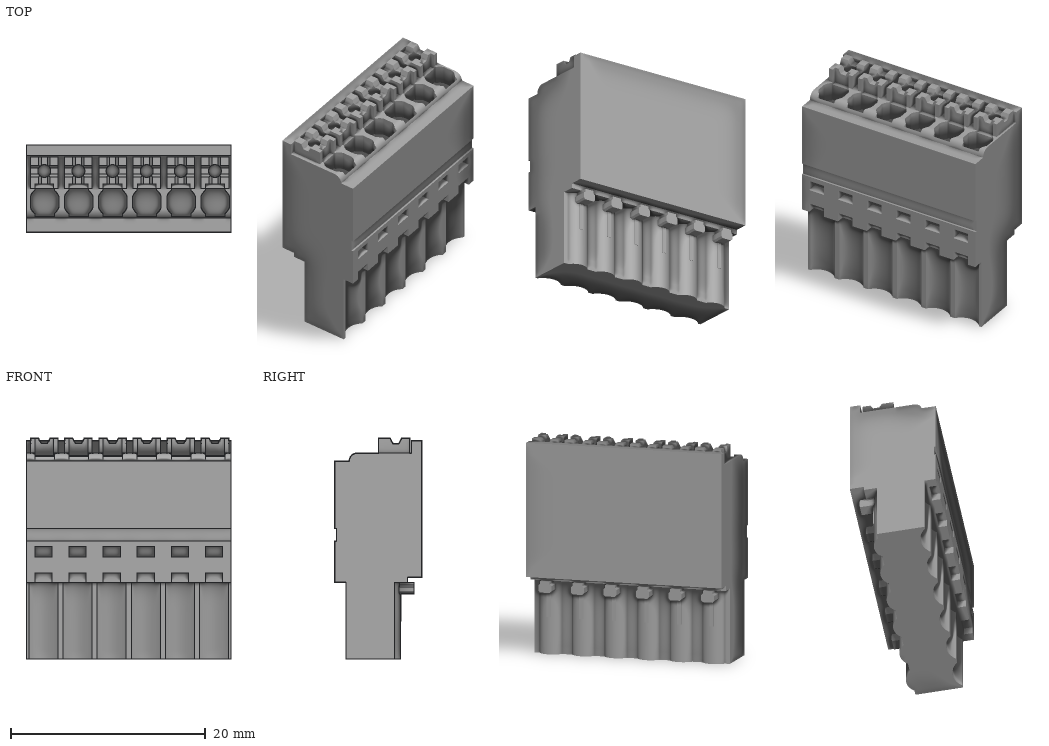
import cadquery as cq
import math

WIDTH = 21.05
DEPTH = 9.0
HEIGHT = 22.7
CELLS = 6
PITCH = WIDTH / CELLS

DECK_Z = 21.18
REAR_WALL_TOP = 22.45
REAR_WALL_Y = 7.9
LEDGE_Z = 20.35
LEDGE_DEPTH = 1.5
DECK_ROUND = DECK_Z - LEDGE_Z
GROOVE_TOP = 13.42
GROOVE_BOTTOM = 12.12
GROOVE_DEPTH = 0.2
SHOULDER_Z = 7.88
REAR_STEP_Z = 8.4
REAR_STEP_Y = 7.51
PLUG_FRONT = 1.18
PLUG_BACK = 6.15

SCALLOP_WIDTH = 2.97
SCALLOP_SAG = 0.73
BULGE_WIDTH = 2.4
BULGE_SAG = 0.64

NUB_BACK = 8.17
NUB_WIDTH = 1.4
NUB_NECK_WIDTH = 1.05
NUB_NECK_HEIGHT = 0.27
NUB_HEIGHT = 1.18
NUB_CHAMFER = (NUB_WIDTH - NUB_NECK_WIDTH) / 2
RIB_WIDTH = 0.45
RIB_BACK = 6.83
RIB_BOTTOM = 3.93

WINDOW_WIDTH = 1.77
WINDOW_TOP = 11.6
WINDOW_BOTTOM = 10.5
WINDOW_DEPTH = 1.1
SLOT_TOP = 8.88
SLOT_DEPTH = 0.89

ENTRY_OFFSET = 0.11
ENTRY_BOTTOM = 19.07
ENTRY_Y = 3.13
ENTRY_RADIUS = 1.57
ENTRY_FRONT = 1.63
ENTRY_WIDTH = 2.93
ENTRY_MOUTH = 2.0
BUTTON_OFFSET = 0.1
BUTTON_WIDTH = 2.84
BUTTON_FRONT = 4.52
BUTTON_BACK = 7.75
RELIEF_WIDTH = 1.93
RELIEF_DEPTH = 0.48
RELIEF_BOTTOM = 20.9
CROSS_Y = 6.3
CROSS_TOP_WIDTH = 1.18
CROSS_FLOOR_WIDTH = 0.61
CROSS_DEPTH = 0.55
BORE_DIAMETER = 1.32
BORE_DEPTH = 1.36

CELL_CENTRES = [(i - (CELLS - 1) / 2) * PITCH for i in range(CELLS)]


def box(x_mid, width, y0, y1, z0, z1):
    """Box centred on x_mid that spans the given Y and Z limits."""
    return cq.Workplane("XY").box(width, y1 - y0, z1 - z0, centered=(True, False, False)).translate(
        (x_mid, y0, z0)
    )


def arc_segment(x_mid, y_chord, width, sag, z1):
    """Upright prism between a chord at y_chord and an arc bulging toward +Y."""
    half = width / 2
    return (
        cq.Workplane("XY")
        .moveTo(x_mid - half, y_chord)
        .threePointArc((x_mid, y_chord + sag), (x_mid + half, y_chord))
        .close()
        .extrude(z1)
    )


def housing_block():
    """Side profile with the rounded deck edge, extruded over the full width."""
    diagonal = math.sqrt(0.5)
    round_mid = (
        LEDGE_DEPTH + DECK_ROUND * (1 - diagonal),
        LEDGE_Z + DECK_ROUND * diagonal,
    )
    return (
        cq.Workplane("YZ")
        .moveTo(PLUG_FRONT, 0)
        .lineTo(PLUG_FRONT, SHOULDER_Z)
        .lineTo(0, SHOULDER_Z)
        .lineTo(0, GROOVE_BOTTOM)
        .lineTo(GROOVE_DEPTH, GROOVE_BOTTOM)
        .lineTo(GROOVE_DEPTH, GROOVE_TOP)
        .lineTo(0, GROOVE_TOP)
        .lineTo(0, LEDGE_Z)
        .lineTo(LEDGE_DEPTH, LEDGE_Z)
        .threePointArc(round_mid, (LEDGE_DEPTH + DECK_ROUND, DECK_Z))
        .lineTo(REAR_WALL_Y, DECK_Z)
        .lineTo(REAR_WALL_Y, REAR_WALL_TOP)
        .lineTo(DEPTH, REAR_WALL_TOP)
        .lineTo(DEPTH, REAR_STEP_Z)
        .lineTo(REAR_STEP_Y, REAR_STEP_Z)
        .lineTo(REAR_STEP_Y, SHOULDER_Z)
        .lineTo(PLUG_BACK, SHOULDER_Z)
        .lineTo(PLUG_BACK, 0)
        .close()
        .extrude(WIDTH / 2, both=True)
    )


def coding_nub(x_mid):
    """Necked nub with chamfered corners on the rear bulge, just under the shoulder."""
    half = NUB_WIDTH / 2
    half_neck = NUB_NECK_WIDTH / 2
    bottom = SHOULDER_Z - NUB_HEIGHT
    neck_bottom = SHOULDER_Z - NUB_NECK_HEIGHT
    outline = [
        (x_mid - half_neck, SHOULDER_Z),
        (x_mid + half_neck, SHOULDER_Z),
        (x_mid + half_neck, neck_bottom),
        (x_mid + half, neck_bottom - NUB_CHAMFER),
        (x_mid + half, bottom + NUB_CHAMFER),
        (x_mid + half_neck, bottom),
        (x_mid - half_neck, bottom),
        (x_mid - half, bottom + NUB_CHAMFER),
        (x_mid - half, neck_bottom - NUB_CHAMFER),
        (x_mid - half_neck, neck_bottom),
    ]
    return (
        cq.Workplane("XZ", origin=(0, PLUG_BACK, 0))
        .polyline(outline)
        .close()
        .extrude(PLUG_BACK - NUB_BACK)
    )


def wire_entry(x_mid):
    """Round well with flattened sides, squared off at its front and rear ends."""
    bore = (
        cq.Workplane("XY", origin=(x_mid, ENTRY_Y, ENTRY_BOTTOM))
        .circle(ENTRY_RADIUS)
        .extrude(HEIGHT - ENTRY_BOTTOM)
    )
    flats = box(x_mid, ENTRY_WIDTH, ENTRY_FRONT, BUTTON_FRONT, ENTRY_BOTTOM, HEIGHT)
    ends = box(x_mid, ENTRY_MOUTH, ENTRY_FRONT, BUTTON_FRONT, ENTRY_BOTTOM, HEIGHT)
    return bore.intersect(flats).union(ends)


def button_blank(x_mid):
    """Plain button block, which is also the shape of its pocket."""
    return box(x_mid, BUTTON_WIDTH, BUTTON_FRONT, BUTTON_BACK, ENTRY_BOTTOM, HEIGHT)


def build_housing():
    housing = housing_block()
    for x in CELL_CENTRES:
        housing = housing.union(arc_segment(x, PLUG_BACK, BULGE_WIDTH, BULGE_SAG, SHOULDER_Z))
        housing = housing.union(coding_nub(x))
        housing = housing.union(box(x, RIB_WIDTH, PLUG_BACK, RIB_BACK, RIB_BOTTOM, SHOULDER_Z))
        housing = housing.cut(arc_segment(x, PLUG_FRONT, SCALLOP_WIDTH, SCALLOP_SAG, SHOULDER_Z))
        housing = housing.cut(box(x, WINDOW_WIDTH, 0, WINDOW_DEPTH, WINDOW_BOTTOM, WINDOW_TOP))
        housing = housing.cut(box(x, WINDOW_WIDTH, 0, SLOT_DEPTH, SHOULDER_Z, SLOT_TOP))
        housing = housing.cut(wire_entry(x + ENTRY_OFFSET))
        housing = housing.cut(button_blank(x + BUTTON_OFFSET))
    return housing


def v_groove(plane, length):
    """Flat-bottomed V groove that runs through the Z axis, sunk from the button top."""
    half_top = CROSS_TOP_WIDTH / 2
    half_floor = CROSS_FLOOR_WIDTH / 2
    outline = [
        (-half_top, HEIGHT),
        (half_top, HEIGHT),
        (half_floor, HEIGHT - CROSS_DEPTH),
        (-half_floor, HEIGHT - CROSS_DEPTH),
    ]
    return cq.Workplane(plane).polyline(outline).close().extrude(length, both=True)


def build_button(x_mid):
    button = button_blank(x_mid)
    relief_back = BUTTON_FRONT + RELIEF_DEPTH
    button = button.cut(box(x_mid, RELIEF_WIDTH, BUTTON_FRONT, relief_back, RELIEF_BOTTOM, HEIGHT))
    for plane in ("XZ", "YZ"):
        button = button.cut(v_groove(plane, BUTTON_WIDTH).translate((x_mid, CROSS_Y, 0)))
    bore = (
        cq.Workplane("XY", origin=(x_mid, CROSS_Y, HEIGHT))
        .circle(BORE_DIAMETER / 2)
        .extrude(-BORE_DEPTH)
    )
    return button.cut(bore)


housing = build_housing()
buttons = [build_button(x + BUTTON_OFFSET) for x in CELL_CENTRES]

result = cq.Compound.makeCompound([housing.val(), *[button.val() for button in buttons]])